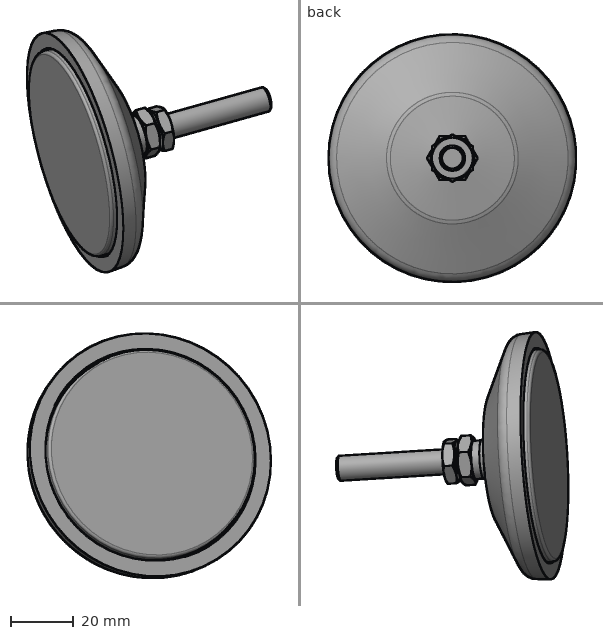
import cadquery as cq
import math

total_length = 68.5

base_radius = 39.5
base_bottom = 2.0
crown_top = 20.15
boss_foot_radius = 6.9
boss_top = 21.6
rim_draft = 4.0
skirt_slope = 25.5
crown_slope = 10.0
shoulder_radius = 20.4
rim_fillet = 4.1
shoulder_fillet = 4.75
recess_depth = 2.0

pad_radius = 33.9
pad_clearance = 0.55
pad_rounding = 0.95

stud_radius = 4.0
stud_chamfer = 0.7
collar_radius = 6.2
hex_bottom = 24.2
hex_height = 4.3
hex_flats = 14.0
waist_radius = 3.55
waist_height = 0.7
neck_foot_radius = 4.2

nut_bottom = 29.6
nut_height = 3.9
nut_flats = 13.0

hex_chamfer_angle = 30.0


def slope_rise(run, angle):
    return run * math.tan(math.radians(angle))


def revolve_outline(points):
    """Turn an outline of (radius, y) points about the Y axis."""
    return cq.Workplane("XY").polyline(points).close().revolve(360, (0, 0), (0, 1))


def make_hexagon(bottom, height, flats, corner_angle):
    """Hexagonal prism along Y whose corners are chamfered at both ends."""
    corner_radius = flats / 2 / math.cos(math.pi / 6)
    prism = (
        cq.Workplane("XZ", origin=(0, bottom, 0))
        .polygon(6, 2 * corner_radius)
        .extrude(-height)
        .rotate((0, 0, 0), (0, 1, 0), corner_angle)
    )
    face_radius = flats / 2
    chamfer_height = slope_rise(corner_radius - face_radius, hex_chamfer_angle)
    top = bottom + height
    envelope = revolve_outline([
        (0, bottom),
        (face_radius, bottom),
        (corner_radius, bottom + chamfer_height),
        (corner_radius, top - chamfer_height),
        (face_radius, top),
        (0, top),
    ])
    return prism.intersect(envelope)


def make_base():
    """Solid domed base with a flared boss on top and a shallow recess for the pad underneath."""
    shoulder_y = crown_top - slope_rise(shoulder_radius - boss_foot_radius, crown_slope)
    skirt_drop = slope_rise(base_radius - shoulder_radius, skirt_slope)
    draft_and_slope = slope_rise(slope_rise(1, rim_draft), skirt_slope)
    rim_height = (shoulder_y - skirt_drop - base_bottom) / (1 - draft_and_slope)
    rim_top_radius = base_radius - slope_rise(rim_height, rim_draft)
    rim_y = base_bottom + rim_height

    recess_radius = pad_radius + pad_clearance
    recess_top = base_bottom + recess_depth
    base = revolve_outline([
        (0, recess_top),
        (recess_radius, recess_top),
        (recess_radius, base_bottom),
        (base_radius, base_bottom),
        (rim_top_radius, rim_y),
        (shoulder_radius, shoulder_y),
        (boss_foot_radius, crown_top),
        (collar_radius, boss_top),
        (0, boss_top),
    ])
    circles_by_height = base.edges("%CIRCLE").sort(lambda edge: edge.Center().y).vals()
    rim_edge, shoulder_edge = circles_by_height[-4:-2]
    base = base.newObject([rim_edge]).fillet(rim_fillet)
    return base.newObject([shoulder_edge]).fillet(shoulder_fillet)


def make_pad():
    """Disc seated in the base recess, rounded at its floor edge."""
    pad_height = base_bottom + recess_depth
    pad = cq.Workplane("XZ").circle(pad_radius).extrude(-pad_height)
    return pad.faces("<Y").edges().fillet(pad_rounding)


def make_stud():
    """Rod with a hexagon, a relieved neck above it and a plain collar below, standing on the base boss."""
    hex_top = hex_bottom + hex_height
    turned = revolve_outline([
        (0, boss_top),
        (collar_radius, boss_top),
        (collar_radius, hex_bottom),
        (neck_foot_radius, hex_bottom),
        (neck_foot_radius, hex_top),
        (waist_radius, hex_top + waist_height),
        (stud_radius, nut_bottom),
        (stud_radius, total_length - stud_chamfer),
        (stud_radius - stud_chamfer, total_length),
        (0, total_length),
    ])
    return turned.union(make_hexagon(hex_bottom, hex_height, hex_flats, 0))


def make_lock_nut():
    """Hexagon nut fitting the rod, turned so its corners point along Z."""
    nut = make_hexagon(nut_bottom, nut_height, nut_flats, 30)
    bore = cq.Workplane("XZ", origin=(0, nut_bottom, 0)).circle(stud_radius).extrude(-nut_height)
    return nut.cut(bore)


base = make_base()
pad = make_pad()
stud = make_stud()
lock_nut = make_lock_nut()

result = cq.Compound.makeCompound([base.val(), pad.val(), stud.val(), lock_nut.val()])